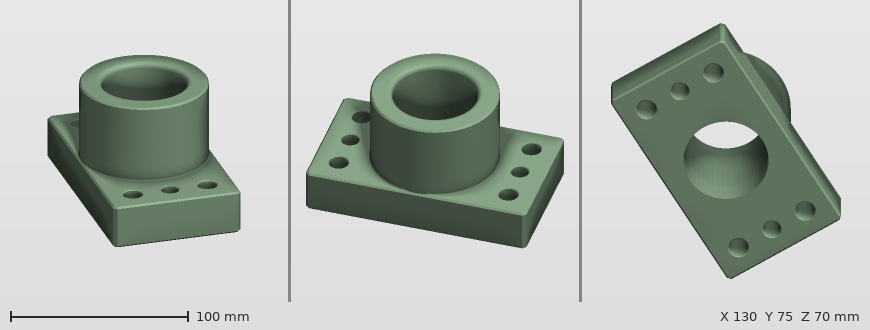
import cadquery as cq
import math

plate_length = 130.0
plate_width = 75.0
plate_height = 25.0
edge_chamfer = 1.0
corner_chamfer = 2 * edge_chamfer

total_height = 70.0
boss_height = total_height - plate_height
boss_diameter = plate_width - 2 * edge_chamfer
boss_rim_chamfer = 1.0
root_fillet = 1.0

row_spacing = 100.0
screw_spacing = 44.0
screw_hole_diameter = 11.0
dowel_hole_diameter = 10.0
hole_chamfer = 0.5

bushing_diameter = 58.5
bushing_bore = 48.0
bushing_mouth_fillet = 3.0


def make_plate():
    """Plate with chamfered corners and chamfered top and bottom edges."""
    plate = cq.Workplane("XY").box(
        plate_length, plate_width, plate_height, centered=(True, True, False)
    )
    plate = plate.edges("|Z").chamfer(corner_chamfer)
    return plate.faces("<Z or >Z").edges().chamfer(edge_chamfer)


def make_boss():
    """Upright cylinder with a chamfered rim."""
    boss = cq.Workplane("XY").workplane(offset=plate_height)
    boss = boss.circle(boss_diameter / 2).extrude(boss_height)
    return boss.faces(">Z").edges().chamfer(boss_rim_chamfer)


def make_root_fillet():
    """Concave ring around the foot of the boss, sloped off where it meets the plate's long edges."""
    wall = boss_diameter / 2
    core = wall / 2
    arc_centre = (wall + root_fillet, plate_height + root_fillet)
    arc_middle = tuple(c - root_fillet * math.sin(math.radians(45)) for c in arc_centre)
    ring = (
        cq.Workplane("XZ")
        .moveTo(core, plate_height)
        .lineTo(arc_centre[0], plate_height)
        .threePointArc(arc_middle, (wall, arc_centre[1]))
        .lineTo(core, arc_centre[1])
        .close()
        .revolve(360, (0, 0), (0, 1))
    )
    slopes = (
        cq.Workplane("YZ")
        .polyline(
            [
                (-wall, plate_height),
                (wall, plate_height),
                (wall - root_fillet, plate_height + root_fillet),
                (root_fillet - wall, plate_height + root_fillet),
            ]
        )
        .close()
        .extrude(plate_length / 2, both=True)
    )
    return ring.intersect(slopes)


def make_hole(diameter, x, y):
    """Through-hole cutter with a chamfered mouth at each face of the plate."""
    radius = diameter / 2
    mouth = radius + hole_chamfer
    profile = [
        (0, 0),
        (mouth, 0),
        (radius, hole_chamfer),
        (radius, plate_height - hole_chamfer),
        (mouth, plate_height),
        (0, plate_height),
    ]
    cutter = cq.Workplane("XZ").polyline(profile).close().revolve(360, (0, 0), (0, 1))
    return cutter.translate((x, y, 0))


def make_housing():
    """Plate and boss with the bushing seat and the two hole rows."""
    housing = make_plate().union(make_boss()).union(make_root_fillet())
    seat = cq.Workplane("XY").circle(bushing_diameter / 2).extrude(total_height)
    housing = housing.cut(seat)
    for x in (-row_spacing / 2, row_spacing / 2):
        housing = housing.cut(make_hole(dowel_hole_diameter, x, 0))
        for y in (-screw_spacing / 2, screw_spacing / 2):
            housing = housing.cut(make_hole(screw_hole_diameter, x, y))
    return housing


def make_bushing():
    """Plain sleeve with a rounded bore mouth at the top."""
    bushing = cq.Workplane("XY").circle(bushing_diameter / 2).circle(bushing_bore / 2)
    bushing = bushing.extrude(total_height)
    bore_edge = cq.selectors.RadiusNthSelector(0)
    return bushing.faces(">Z").edges(bore_edge).fillet(bushing_mouth_fillet)


housing = make_housing()
bushing = make_bushing()

result = cq.Compound.makeCompound([housing.solids().val(), bushing.solids().val()])